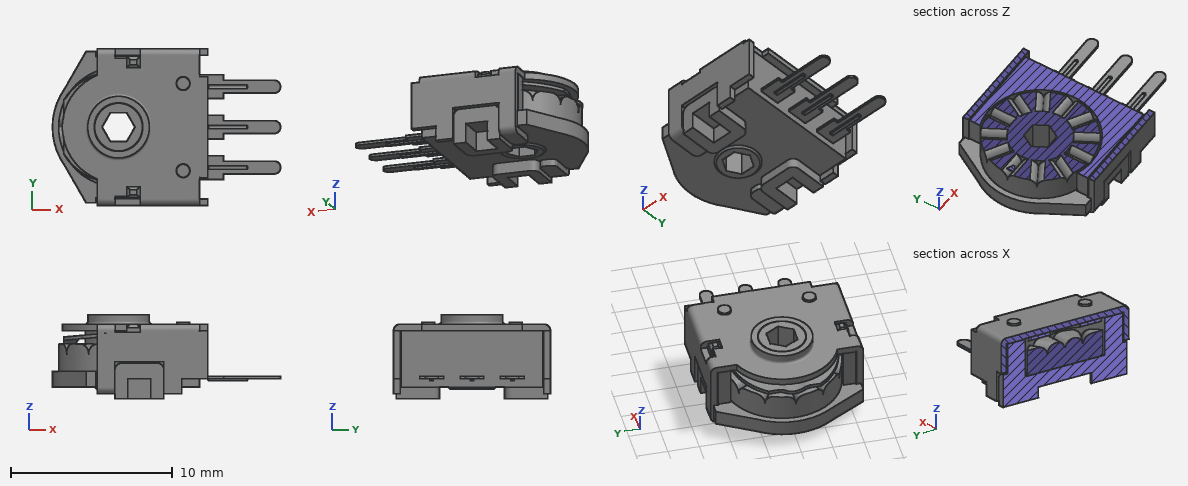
import cadquery as cq
import math


sheet = 0.42
bend_radius = 0.41
cover_half_width = 4.85
cover_top = 3.89
cover_front = -1.33
cover_back = 5.51
cover_nose_radius = 3.47
tongue_half_width = 3.12
bend_relief = 0.51
collar_diameter = 3.8
collar_root_diameter = 4.15
collar_top = 4.48
collar_bore_diameter = 3.0
skirt_back = 3.9
skirt_bottom = -sheet
side_bottom = 0.51
tab_inner_edge = 2.31
tab_corner_radius = 0.4
cover_inside = cover_half_width - sheet
ceiling = cover_top - sheet
bend_back = cover_back - bend_relief

window_front = -0.21
window_back = 1.33
window_bottom = 3.38
window_narrow_edge = 4.26
window_wide_edge = 3.67

base_half_width = 4.37
base_back = bend_back
floor_top = 0.97
cavity_radius = 3.8
flange_half_width = 4.68
flange_radius = 4.09
flange_arc_half_width = 2.35
flange_corner_x = -2.0
flange_back = -1.4
stud_diameter = 0.8
stud_hole_diameter = 0.85
stud_x = 3.99
stud_y = 2.7
stud_top = 4.02

peg_front = 0.51
peg_length = window_back - peg_front
peg_width = base_half_width - window_wide_edge
peg_shoulder = 3.68
peg_chamfer = 0.2

foot_front = -0.23
foot_back = 2.8
foot_bottom = -0.72
foot_top = 1.48
foot_top_radius = 0.41
foot_inner_edge = 2.0
foot_inner_radius = 0.5
foot_slot_front = 0.58
foot_slot_back = 1.99
foot_slot_top = 0.51
cutout_top = 1.57

rotor_diameter = 7.4
rotor_top = 2.66
hub_diameter = 4.15
journal_diameter = 2.95
journal_bottom = -0.13
hex_across_flats = 1.75
notch_count = 12
notch_radius = 0.62

spring_thickness = 0.21
spring_outer_length = 3.85
spring_outer_width = 3.48
spring_inner_length = 2.64
spring_inner_width = 2.43
spring_front = -3.38
spring_front_top = 3.1
spring_tilt = 5.0
dimple_half_width = 0.96
dimple_shoulder_y = 0.7
dimple_shoulder_depth = 0.07
dimple_arm_y = 0.34
dimple_arm_depth = 0.24
dimple_bottom_y = 0.07
dimple_depth = 0.3
dimple_length = 1.27
dimple_overrun = 0.14

terminal_pitch = 2.5
terminal_bottom = 0.51
terminal_thickness = 0.17
terminal_width = 0.8
terminal_root_width = 1.48
terminal_root_end = 6.49
terminal_tip = 10.01
bead_start = cover_back
bead_end = 7.98
bead_radius = 0.11
bead_drop = 0.13
bead_end_slope = 0.07


def block(x_from, x_to, y_from, y_to, z_from, z_to):
    """Box between two opposite corners."""
    box = cq.Workplane("XY").box(x_to - x_from, y_to - y_from, z_to - z_from, centered=False)
    return box.translate((x_from, y_from, z_from))


def rod(diameter, z_from, z_to, x=0.0, y=0.0):
    """Upright cylinder."""
    return cq.Workplane("XY", origin=(x, y, z_from)).circle(diameter / 2).extrude(z_to - z_from)


def both_sides(shape):
    """A +Y feature together with its mirror image on the -Y side."""
    return shape.union(shape.mirror("XZ"))


def make_foot():
    foot = block(foot_front, foot_back, foot_inner_edge, flange_half_width, foot_bottom, 0)
    foot = foot.edges("|Z and <Y").fillet(foot_inner_radius)
    cheek = block(foot_front, foot_back, base_half_width, flange_half_width, foot_bottom, foot_top)
    cheek = cheek.edges("|Y and >Z").fillet(foot_top_radius)
    return foot.union(cheek)


def make_foot_slot():
    """Recess in the outer face of a foot, leaving a web as thick as the leg beside it."""
    web = foot_slot_front - foot_front
    slot_end = foot_inner_edge + web
    return block(
        foot_slot_front, foot_slot_back, slot_end, flange_half_width, foot_bottom, foot_slot_top
    )


def make_peg():
    peg = block(peg_front, window_back, window_wide_edge, base_half_width, ceiling, peg_shoulder)
    rise = cover_top - peg_shoulder
    point = (
        cq.Workplane("XY", origin=(0, 0, peg_shoulder))
        .center(peg_front + peg_length / 2, window_wide_edge + peg_width / 2)
        .rect(peg_length, peg_width)
        .workplane(offset=rise)
        .rect(peg_length - 2 * peg_chamfer, peg_width - 2 * peg_chamfer)
        .loft()
    )
    return peg.union(point)


def make_flange():
    arc_x = -math.sqrt(flange_radius**2 - flange_arc_half_width**2)
    return (
        cq.Workplane("XY")
        .moveTo(arc_x, -flange_arc_half_width)
        .threePointArc((-flange_radius, 0), (arc_x, flange_arc_half_width))
        .lineTo(flange_corner_x, flange_half_width)
        .lineTo(flange_back, flange_half_width)
        .lineTo(flange_back, -flange_half_width)
        .lineTo(flange_corner_x, -flange_half_width)
        .close()
        .extrude(floor_top)
    )


def make_base():
    base = block(flange_back, base_back, -base_half_width, base_half_width, 0, floor_top)
    walls = block(cover_front, base_back, -base_half_width, base_half_width, floor_top, ceiling)
    cavity = rod(2 * cavity_radius, floor_top, ceiling)
    base = base.union(make_flange()).union(walls.cut(cavity))
    stud = rod(stud_diameter, ceiling, stud_top, stud_x, stud_y)
    base = base.union(both_sides(make_foot())).union(both_sides(make_peg())).union(both_sides(stud))
    base = base.cut(both_sides(make_foot_slot()))
    return base.cut(rod(journal_diameter, 0, floor_top))


def make_collar():
    """Raised ring around the rotor journal, with a concave fillet at its root."""
    radius = collar_diameter / 2
    root = collar_root_diameter / 2
    fillet = root - radius
    mid = fillet * (1 - math.sqrt(0.5))
    return (
        cq.Workplane("XZ")
        .moveTo(0, cover_top)
        .lineTo(root, cover_top)
        .threePointArc((radius + mid, cover_top + mid), (radius, cover_top + fillet))
        .lineTo(radius, collar_top)
        .lineTo(0, collar_top)
        .close()
        .revolve(360, (0, 0, 0), (0, 1, 0))
    )


def make_window():
    outside = cover_half_width
    side = block(window_front, window_back, base_half_width, outside, window_bottom, cover_top)
    narrow = block(window_front, window_back, window_narrow_edge, outside, ceiling, cover_top)
    wide = block(peg_front, window_back, window_wide_edge, outside, ceiling, cover_top)
    return side.union(narrow).union(wide)


def make_tab():
    """Skirt end folded under the base."""
    tab = block(cover_front, foot_front, tab_inner_edge, cover_half_width, skirt_bottom, 0)
    tab = tab.edges("|X and >Y and <Z").fillet(bend_radius)
    return tab.edges("|Z and <Y").fillet(tab_corner_radius)


def make_cover_side():
    """Side wall behind the bend, lower skirt and folded tab on the +Y side."""
    side = block(cover_front, cover_back, cover_inside, cover_half_width, side_bottom, ceiling)
    skirt_front = block(cover_front, foot_front, cover_inside, cover_half_width, 0, side_bottom)
    skirt = block(foot_back, skirt_back, cover_inside, cover_half_width, skirt_bottom, side_bottom)
    cutout = block(foot_front, foot_back, cover_inside, cover_half_width, side_bottom, cutout_top)
    return side.cut(cutout).union(skirt_front).union(skirt).union(make_tab())


def make_cover():
    plate = block(cover_front, bend_back, -cover_half_width, cover_half_width, ceiling, cover_top)
    plate = plate.edges("|X and >Z").fillet(bend_radius)
    tongue = block(bend_back, cover_back, -tongue_half_width, tongue_half_width, ceiling, cover_top)
    nose = rod(2 * cover_nose_radius, ceiling, cover_top)
    cover = plate.union(tongue).union(nose).union(make_collar())
    cover = cover.union(both_sides(make_cover_side()))
    stud_hole = rod(stud_hole_diameter, ceiling, cover_top, stud_x, stud_y)
    cover = cover.cut(both_sides(make_window())).cut(both_sides(stud_hole))
    return cover.cut(rod(collar_bore_diameter, ceiling, collar_top))


def make_notch():
    """Radial notch along -X: two convex quarter rounds that meet at the bottom."""
    lean = notch_radius * (1 - math.sqrt(0.5))
    return (
        cq.Workplane("YZ", origin=(-rotor_diameter, 0, rotor_top))
        .moveTo(-notch_radius, 0)
        .threePointArc((-lean, -lean), (0, -notch_radius))
        .threePointArc((lean, -lean), (notch_radius, 0))
        .close()
        .extrude(rotor_diameter)
    )


def make_rotor():
    hub = rod(hub_diameter, floor_top, ceiling)
    notch = make_notch().cut(hub)
    crown = rod(rotor_diameter, floor_top, rotor_top)
    for index in range(notch_count):
        turn = index * 360 / notch_count
        crown = crown.cut(notch.rotate((0, 0, 0), (0, 0, 1), turn))
    journal = rod(journal_diameter, journal_bottom, collar_top).faces("<Z").chamfer(-journal_bottom)
    hexagon = (
        cq.Workplane("XY", origin=(0, 0, journal_bottom))
        .polygon(6, hex_across_flats / math.cos(math.pi / 6))
        .extrude(collar_top - journal_bottom)
    )
    return crown.union(hub).union(journal).cut(hexagon)


def make_dimple():
    """V-shaped trough that drops into the front rotor notch, along the tilted strip."""
    under = -spring_thickness
    dimple = (
        cq.Workplane("YZ", origin=(spring_front - dimple_overrun, 0, spring_front_top))
        .moveTo(-dimple_half_width, 0)
        .lineTo(-dimple_shoulder_y, -dimple_shoulder_depth)
        .threePointArc((-dimple_arm_y, -dimple_arm_depth), (-dimple_bottom_y, -dimple_depth))
        .lineTo(dimple_bottom_y, -dimple_depth)
        .threePointArc((dimple_arm_y, -dimple_arm_depth), (dimple_shoulder_y, -dimple_shoulder_depth))
        .lineTo(dimple_half_width, 0)
        .lineTo(dimple_half_width, under)
        .lineTo(dimple_shoulder_y, under - dimple_shoulder_depth)
        .threePointArc((dimple_arm_y, under - dimple_arm_depth), (dimple_bottom_y, under - dimple_depth))
        .lineTo(-dimple_bottom_y, under - dimple_depth)
        .threePointArc(
            (-dimple_arm_y, under - dimple_arm_depth), (-dimple_shoulder_y, under - dimple_shoulder_depth)
        )
        .lineTo(-dimple_half_width, under)
        .close()
        .extrude(dimple_length + 2 * dimple_overrun)
    )
    pivot = (spring_front, 0, spring_front_top)
    return dimple.rotate(pivot, (spring_front, 1, spring_front_top), -spring_tilt)


def oval(half_length, half_width):
    """Upright prism with an elliptical outline, as high as the ceiling of the cover."""
    return cq.Workplane("XY").ellipse(half_length, half_width).extrude(ceiling)


def make_spring():
    """Oval ring, flat under the cover at the back and tilted down towards its front, trimmed at both ends."""
    bend_x = spring_front + (ceiling - spring_front_top) / math.tan(math.radians(spring_tilt))
    strip = (
        cq.Workplane("XZ", origin=(0, spring_outer_width, 0))
        .moveTo(spring_front, spring_front_top)
        .lineTo(bend_x, ceiling)
        .lineTo(spring_outer_length, ceiling)
        .lineTo(spring_outer_length, ceiling - spring_thickness)
        .lineTo(bend_x, ceiling - spring_thickness)
        .lineTo(spring_front, spring_front_top - spring_thickness)
        .close()
        .extrude(2 * spring_outer_width)
    )
    dimple_opening = block(
        spring_front, spring_front + dimple_length, -dimple_half_width, dimple_half_width, 0, ceiling
    )
    ring = oval(spring_outer_length, spring_outer_width).cut(oval(spring_inner_length, spring_inner_width))
    trim = block(
        spring_front, -spring_front, -spring_outer_width, spring_outer_width, 0, ceiling
    )
    return strip.cut(dimple_opening).union(make_dimple()).intersect(ring).intersect(trim)


def make_terminal(y):
    top = terminal_bottom + terminal_thickness
    half_root = terminal_root_width / 2
    root = block(base_back, terminal_root_end, -half_root, half_root, terminal_bottom, top)
    half = terminal_width / 2
    blade = block(base_back, terminal_tip - half, -half, half, terminal_bottom, top)
    tip = rod(terminal_width, terminal_bottom, top, terminal_tip - half)
    bead = block(
        bead_start, bead_end, -bead_radius, bead_radius, terminal_bottom - bead_drop, terminal_bottom
    )
    bead = bead.faces("<Z").edges("|Y").chamfer(bead_end_slope)
    groove = (
        cq.Workplane("YZ", origin=(bead_start, 0, top))
        .circle(bead_radius)
        .extrude(bead_end - bead_start)
        .faces("<X or >X")
        .chamfer(bead_end_slope)
    )
    return root.union(blade).union(tip).union(bead).cut(groove).translate((0, y, 0))


base = make_base()
cover = make_cover()
rotor = make_rotor()
spring = make_spring()
terminals = [make_terminal(row * terminal_pitch) for row in (-1, 0, 1)]

result = cq.Compound.makeCompound(
    [base.val(), cover.val(), rotor.val(), spring.val(), *[terminal.val() for terminal in terminals]]
)